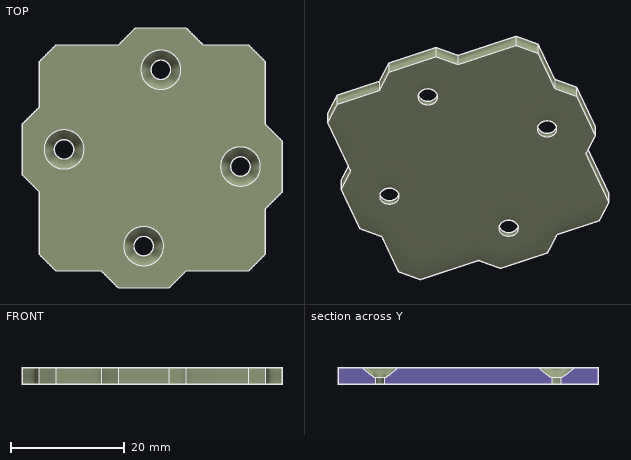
import cadquery as cq

overall_size = 46.0
thickness = 3.0
tab_height = 3.0
body_size = overall_size - 2 * tab_height
corner_chamfer = 3.0

tab_tip_width = 8.95
tab_root_width = tab_tip_width + 2 * tab_height
tab_shift = 1.5

hole_diameter = 3.4
sink_diameter = 7.0
sink_angle = 90
hole_distance = 15.6

side_count = 4
side_angle = 360 / side_count


def make_body():
    """Square plate with chamfered vertical corners."""
    plate = cq.Workplane("XY").box(body_size, body_size, thickness, centered=(True, True, False))
    return plate.edges("|Z").chamfer(corner_chamfer)


def make_tab():
    """Trapezoidal tab on the +Y side, rooted at the middle line of the plate."""
    left_root = tab_shift - tab_root_width / 2
    right_root = tab_shift + tab_root_width / 2
    left_tip = tab_shift - tab_tip_width / 2
    right_tip = tab_shift + tab_tip_width / 2
    outline = [
        (left_root, 0),
        (left_root, body_size / 2),
        (left_tip, overall_size / 2),
        (right_tip, overall_size / 2),
        (right_root, body_size / 2),
        (right_root, 0),
    ]
    return cq.Workplane("XY").polyline(outline).close().extrude(thickness)


def add_tabs(plate):
    tab = make_tab()
    for side in range(side_count):
        plate = plate.union(tab.rotate((0, 0, 0), (0, 0, 1), side * side_angle))
    return plate


def cut_holes(plate):
    """Through holes countersunk from the top face."""
    return (
        plate.faces(">Z")
        .workplane(origin=(0, 0, thickness))
        .pushPoints([
            (tab_shift, hole_distance),
            (hole_distance, -tab_shift),
            (-tab_shift, -hole_distance),
            (-hole_distance, tab_shift),
        ])
        .cskHole(hole_diameter, sink_diameter, sink_angle)
    )


result = cut_holes(add_tabs(make_body()))